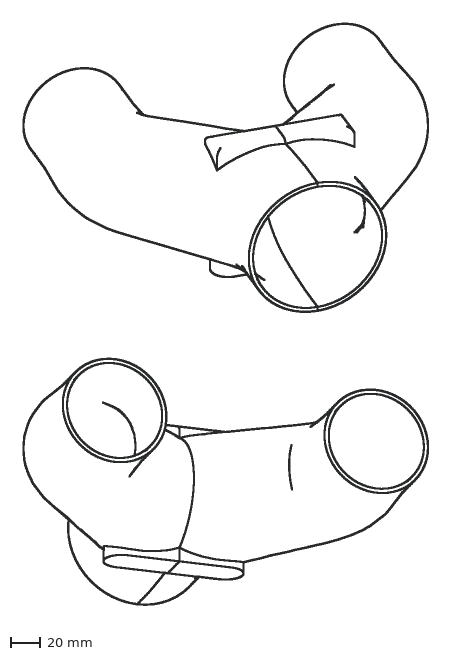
import cadquery as cq
import math


total_length = 230.0
inlet_collar_length = 30.0
outlet_collar_length = 24.1
outlet_collar_x = total_length - outlet_collar_length
inlet_offset_y = 94.7

inlet_radius = 75.0 / 2
outlet_radius = 100.0 / 2
wall = (75.0 - 69.0) / 2

inlet_corner_x = 80.2
outlet_corner_x = 173.8
leg_angle = math.atan2(inlet_offset_y, outlet_corner_x - inlet_corner_x)
inlet_bend_radius = 43.7
outlet_bend_radius = (outlet_collar_x - outlet_corner_x) / math.tan(leg_angle / 2)

steps_per_leg = 3
steps_per_bend = 6

x_axis = cq.Vector(1, 0, 0)

pad_length = 2 * outlet_radius
pad_width = 25.0
pad_center_x = 152.5
pad_height = outlet_radius
label_edge_radius = 10.0 / 2

margin = 13.5


def center_line():
    """Smooth curve from the inlet collar to the outlet collar through points on the legs and bends."""
    inlet_setback = inlet_bend_radius * math.tan(leg_angle / 2)
    outlet_setback = outlet_bend_radius * math.tan(leg_angle / 2)
    inlet_leg = inlet_corner_x - inlet_setback - inlet_collar_length
    corner_spacing = math.hypot(outlet_corner_x - inlet_corner_x, inlet_offset_y)
    middle_leg = corner_spacing - inlet_setback - outlet_setback
    pieces = [
        (inlet_leg, 0, steps_per_leg),
        (inlet_bend_radius * leg_angle, leg_angle, steps_per_bend),
        (middle_leg, 0, steps_per_leg),
        (outlet_bend_radius * leg_angle, -leg_angle, steps_per_bend),
    ]
    x = inlet_collar_length
    y = inlet_offset_y
    heading = 0
    points = [cq.Vector(x, y, 0)]
    for length, turn, steps in pieces:
        half_turn = turn / steps / 2
        chord = length / steps
        if turn:
            chord *= math.sin(half_turn) / half_turn
        for _ in range(steps):
            x += chord * math.cos(heading + half_turn)
            y -= chord * math.sin(heading + half_turn)
            heading += 2 * half_turn
            points.append(cq.Vector(x, y, 0))
    return cq.Edge.makeSpline(points, tangents=[x_axis, x_axis])


def cross_section(center, radius):
    """Circle facing along X that starts at z = 0, so the pipe carries no seam along its top."""
    plane = cq.Plane(origin=center, xDir=(0, 1, 0), normal=x_axis)
    return cq.Workplane(plane).circle(radius).wire().val()


def branch(inset):
    """Bent pipe that widens steadily toward the outlet, with its radius reduced by `inset`."""
    path = center_line()
    inlet_ring = cross_section(path.startPoint(), inlet_radius - inset)
    outlet_ring = cross_section(path.endPoint(), outlet_radius - inset)
    path_wire = cq.Wire.assembleEdges([path])
    return cq.Workplane(cq.Solid.sweep_multi([inlet_ring, outlet_ring], path_wire))


def collar(start_x, length, center_y, radius):
    return cq.Workplane("YZ", origin=(start_x, center_y, 0)).circle(radius).extrude(length)


def duct(inset):
    """One branch with its inlet collar and the outlet collar; the outside at no inset, the bore at `wall`."""
    inlet = collar(0, inlet_collar_length, inlet_offset_y, inlet_radius - inset)
    outlet = collar(outlet_collar_x, outlet_collar_length, 0, outlet_radius - inset)
    return branch(inset).union(inlet).union(outlet)


def label_pad():
    """Raised rectangular label plate with rounded top edges, rooted inside the duct."""
    pad = cq.Workplane("XY", origin=(pad_center_x, 0, 0)).rect(pad_width, pad_length).extrude(pad_height)
    return pad.faces(">Z").edges().fillet(label_edge_radius)


def foot_pad():
    """Round-ended foot whose flat underside is level with the outlet collar."""
    outline = cq.Workplane("XY", origin=(pad_center_x, 0, 0)).slot2D(pad_length, pad_width, 90)
    return outline.extrude(-pad_height)


def half_shell():
    """Everything on the y > 0 side of the duct, hollowed out."""
    solid = duct(0).union(label_pad()).union(foot_pad())
    keep_width = inlet_offset_y + outlet_radius + margin
    keep_height = 2 * (outlet_radius + margin)
    keep = cq.Workplane("XY").box(total_length, keep_width, keep_height, centered=(False, False, True))
    return solid.cut(duct(wall)).intersect(keep)


left_half = half_shell()
right_half = left_half.mirror("XZ")
result = cq.Compound.makeCompound([*left_half.solids().vals(), *right_half.solids().vals()])